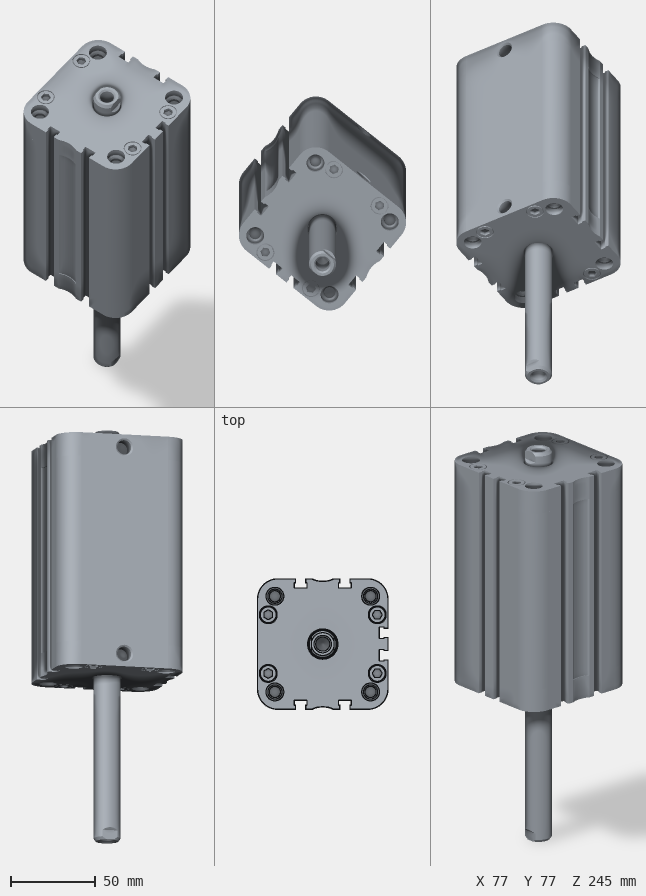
import cadquery as cq
import math

total_length = 245.0
housing_width = 77.0
housing_length = 139.0
rod_below = 98.0
rod_above = total_length - housing_length - rod_below
cap_thickness = 14.0
corner_radius = 12.0
half_width = housing_width / 2
barrel_length = housing_length - 2 * cap_thickness

rod_diameter = 16.0
rod_radius = rod_diameter / 2
rod_chamfer_width = 1.2
rod_chamfer_length = 1.7
flat_across = 13.0
flat_length = 5.6
rod_hole_diameter = 8.3
rod_hole_mouth = 10.3
rod_hole_depth = 19.5
drill_point_angle = 118.0
rod_bottom = -rod_below
rod_top = housing_length + rod_above

cap_bore_diameter = 16.7
cap_bore_mouth = 18.0

slot_lip = 2.5
front_slot_offset = 13.0
front_slot_neck = 6.0
front_slot_inside = 7.4
front_slot_depth = 5.5
side_slot_offset = 6.5
side_slot_neck = 5.5
side_slot_inside = 6.5
side_slot_depth = 5.1

hollow_width = 12.7
cap_hollow_depth = 1.5
barrel_hollow_floor_width = 11.3
barrel_hollow_side_depth = 0.7
barrel_hollow_depth = 2.0

mount_spacing = 56.4
mount_bore_diameter = 10.5
mount_bore_depth = 4.7
mount_sink_diameter = 8.3
mount_hole_diameter = 6.5
mount_hole_depth = 7.4

screw_spacing_x = 64.2
screw_spacing_y = 34.5
screw_recess_diameter = 10.5
screw_head_diameter = 9.3
screw_groove_depth = 0.7
socket_diameter = 6.0
socket_depth = 2.5
left_socket_angle = 30.0
right_socket_angle = 0.0

port_from_end = 7.5
port_diameter = 8.5
port_mouth = 10.5
port_depth = 9.8


def cone(large_diameter, small_diameter, height):
    """Truncated cone, large end on Z = 0, narrowing downward."""
    profile = [(0, 0), (large_diameter / 2, 0), (small_diameter / 2, -height), (0, -height)]
    return cq.Workplane("XZ").polyline(profile).close().revolve(360, (0, 0), (0, 1))


def slot_cutter(length, offset, neck, inside, depth):
    """T-slot opening in the +Y face, centred on X = offset."""
    neck_cut = cq.Workplane("XY").center(offset, half_width - depth / 2).rect(neck, depth).extrude(length)
    inside_depth = depth - slot_lip
    inside_cut = (
        cq.Workplane("XY")
        .center(offset, half_width - slot_lip - inside_depth / 2)
        .rect(inside, inside_depth)
        .extrude(length)
    )
    return neck_cut.union(inside_cut)


def cap_hollow(length):
    """Arc-shaped hollow in the +Y face of a cap."""
    return (
        cq.Workplane("XY")
        .moveTo(-hollow_width / 2, half_width)
        .threePointArc((0, half_width - cap_hollow_depth), (hollow_width / 2, half_width))
        .close()
        .extrude(length)
    )


def barrel_hollow(length):
    """Hollow in the +Y face of the barrel: sloped sides and an arc floor, deeper than in the caps."""
    floor_edge = half_width - barrel_hollow_side_depth
    return (
        cq.Workplane("XY")
        .moveTo(-hollow_width / 2, half_width)
        .lineTo(-barrel_hollow_floor_width / 2, floor_edge)
        .threePointArc((0, half_width - barrel_hollow_depth), (barrel_hollow_floor_width / 2, floor_edge))
        .lineTo(hollow_width / 2, half_width)
        .close()
        .extrude(length)
    )


def housing_section(length, bore_diameter, hollow):
    """Rounded square block on Z = 0 with its slots, face hollows and its bore for the rod."""
    block = (
        cq.Workplane("XY").rect(housing_width, housing_width).extrude(length)
        .edges("|Z").fillet(corner_radius)
        .cut(cq.Workplane("XY").circle(bore_diameter / 2).extrude(length))
    )
    face_cut = hollow
    for side in (-1, 1):
        front_slot = slot_cutter(
            length, side * front_slot_offset, front_slot_neck, front_slot_inside, front_slot_depth
        )
        side_slot = slot_cutter(
            length, side * side_slot_offset, side_slot_neck, side_slot_inside, side_slot_depth
        )
        face_cut = face_cut.union(front_slot)
        block = block.cut(side_slot.rotate((0, 0, 0), (0, 0, 1), -90))
    return block.cut(face_cut).cut(face_cut.mirror("XZ"))


def mount_cutter():
    """Counterbored and countersunk blind hole, going down from Z = 0."""
    sink_height = (mount_sink_diameter - mount_hole_diameter) / 2
    bore = cq.Workplane("XY").circle(mount_bore_diameter / 2).extrude(-mount_bore_depth)
    sink = cone(mount_sink_diameter, mount_hole_diameter, sink_height).translate((0, 0, -mount_bore_depth))
    hole = cq.Workplane("XY").circle(mount_hole_diameter / 2).extrude(-mount_hole_depth)
    return bore.union(sink).union(hole)


def screw_cutter(socket_angle):
    """Groove round a flush screw head, and its hexagon socket, going down from Z = 0."""
    groove = (
        cq.Workplane("XY").circle(screw_recess_diameter / 2).circle(screw_head_diameter / 2)
        .extrude(-screw_groove_depth)
    )
    socket = (
        cq.Workplane("XY").polygon(6, socket_diameter).extrude(-socket_depth)
        .rotate((0, 0, 0), (0, 0, 1), socket_angle)
    )
    return groove.union(socket)


def port_cutter():
    """Blind port with a countersunk mouth, going in from the -X face at Z = 0."""
    mouth_height = (port_mouth - port_diameter) / 2
    port = (
        cq.Workplane("XY").circle(port_diameter / 2).extrude(-port_depth)
        .union(cone(port_mouth, port_diameter, mouth_height))
    )
    return port.rotate((0, 0, 0), (0, 1, 0), -90).translate((-half_width, 0, 0))


def make_cap():
    """End cap on Z = 0 with its outer face up."""
    cap = housing_section(cap_thickness, cap_bore_diameter, cap_hollow(cap_thickness))
    bore_mouth_height = (cap_bore_mouth - cap_bore_diameter) / 2
    bore_mouth = cone(cap_bore_mouth, cap_bore_diameter, bore_mouth_height)
    cap = cap.cut(bore_mouth.translate((0, 0, cap_thickness)))
    for x_side, socket_angle in ((-1, left_socket_angle), (1, right_socket_angle)):
        for y_side in (-1, 1):
            mount_place = (x_side * mount_spacing / 2, y_side * mount_spacing / 2, cap_thickness)
            screw_place = (x_side * screw_spacing_x / 2, y_side * screw_spacing_y / 2, cap_thickness)
            cap = cap.cut(mount_cutter().translate(mount_place))
            cap = cap.cut(screw_cutter(socket_angle).translate(screw_place))
    return cap.cut(port_cutter().translate((0, 0, cap_thickness - port_from_end)))


def rod_end_cutter():
    """Wrench flats and centre hole for a rod end whose face is on Z = 0, rod below."""
    step = (rod_diameter - flat_across) / 2
    flat_profile = [
        (flat_across / 2, 0),
        (flat_across / 2, -flat_length),
        (rod_radius, -flat_length - step),
        (rod_radius, 0),
    ]
    flat = cq.Workplane("XZ").polyline(flat_profile).close().extrude(rod_radius, both=True)
    point_height = rod_hole_diameter / 2 / math.tan(math.radians(drill_point_angle / 2))
    mouth_height = (rod_hole_mouth - rod_hole_diameter) / 2
    hole_profile = [
        (0, 0),
        (rod_hole_mouth / 2, 0),
        (rod_hole_diameter / 2, -mouth_height),
        (rod_hole_diameter / 2, -rod_hole_depth),
        (0, -rod_hole_depth - point_height),
    ]
    hole = cq.Workplane("XZ").polyline(hole_profile).close().revolve(360, (0, 0), (0, 1))
    return hole.union(flat).union(flat.mirror("YZ"))


def make_rod():
    """Chamfered round rod through the housing, with flats and a centre hole at both ends."""
    end_radius = rod_radius - rod_chamfer_width
    profile = [
        (0, rod_bottom),
        (end_radius, rod_bottom),
        (rod_radius, rod_bottom + rod_chamfer_length),
        (rod_radius, rod_top - rod_chamfer_length),
        (end_radius, rod_top),
        (0, rod_top),
    ]
    rod = cq.Workplane("XZ").polyline(profile).close().revolve(360, (0, 0), (0, 1))
    rod = rod.cut(rod_end_cutter().translate((0, 0, rod_top)))
    return rod.cut(rod_end_cutter().mirror("XY").translate((0, 0, rod_bottom)))


barrel = housing_section(barrel_length, rod_diameter, barrel_hollow(barrel_length))
barrel = barrel.translate((0, 0, cap_thickness))
top_cap = make_cap().translate((0, 0, housing_length - cap_thickness))
bottom_cap = make_cap().mirror("XY").translate((0, 0, cap_thickness))
rod = make_rod()

result = cq.Compound.makeCompound([barrel.val(), top_cap.val(), bottom_cap.val(), rod.val()])